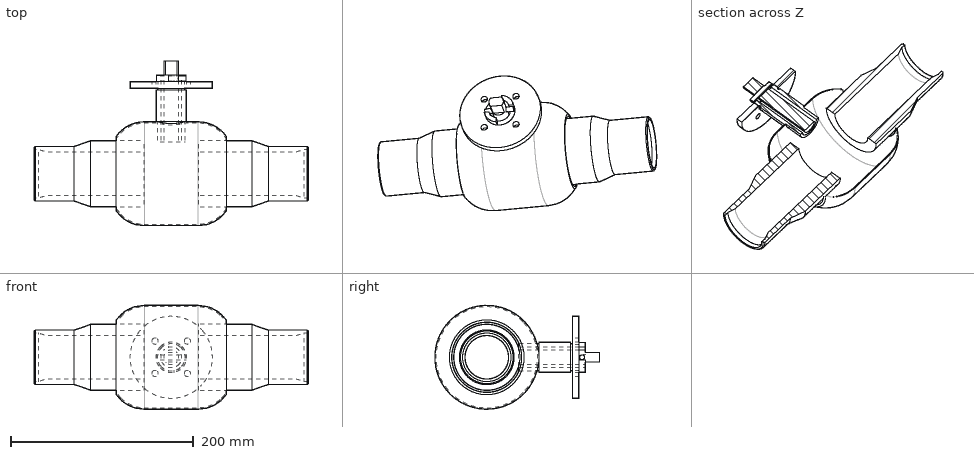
import cadquery as cq
import math

TOTAL_LENGTH = 300.0

HOUSING_DIAMETER = 114.0
HOUSING_LENGTH = 120.5
HOUSING_STRAIGHT = 58.8
HOUSING_END_RADIUS = 37.8
HOUSING_WALL = 1.5

PIPE_DIAMETER = 60.0
PIPE_BODY_DIAMETER = 72.5
PIPE_BORE = 47.5
PIPE_MOUTH_BORE = 53.0
PIPE_MOUTH_DEPTH = 4.8
PIPE_MOUTH_TAPER = 9.0
PIPE_STRAIGHT = 43.8
PIPE_TAPER = 18.0
PIPE_CHAMFER = 1.2
PIPE_INNER_END = 30.0

NECK_DIAMETER = 33.3
NECK_SPIGOT_DIAMETER = 30.0
NECK_BORE = 22.8
NECK_BOTTOM = 34.5
NECK_SHOULDER = HOUSING_DIAMETER / 2
NECK_GROOVE_WIDTH = 1.8
NECK_TOP = 108.0

FLANGE_DIAMETER = 90.0
FLANGE_THICKNESS = 7.2
FLANGE_BOTTOM = 93.5
FLANGE_TOP = FLANGE_BOTTOM + FLANGE_THICKNESS
BOLT_SPACING = 35.5
BOLT_HOLE_DIAMETER = 7.0

STEM_DIAMETER = 16.2
STEM_TOP = 123.5
STEM_FLAT_THICKNESS = 10.5
PIN_DIAMETER = 5.5
PIN_LENGTH = 31.8
PIN_HEIGHT = (FLANGE_TOP + NECK_TOP) / 2
STOP_OFFSET = 3.0


def cylinder_y(diameter, bottom, top):
    """Solid cylinder on the Y axis between two heights."""
    return cq.Workplane("XZ", origin=(0, bottom, 0)).circle(diameter / 2).extrude(bottom - top)


def rounded_barrel(inset):
    """Solid of revolution inside the housing's outer surface by the given inset."""
    half_length = HOUSING_LENGTH / 2
    half_straight = HOUSING_STRAIGHT / 2
    centre_height = HOUSING_DIAMETER / 2 - HOUSING_END_RADIUS
    arc_radius = HOUSING_END_RADIUS - inset
    end_angle = math.acos((half_length - half_straight) / arc_radius)
    middle_angle = (end_angle + math.pi / 2) / 2

    def arc_point(angle):
        return (half_straight + arc_radius * math.cos(angle), centre_height + arc_radius * math.sin(angle))

    middle_x, middle_height = arc_point(middle_angle)
    end_x, end_height = arc_point(end_angle)
    radius = HOUSING_DIAMETER / 2 - inset
    return (
        cq.Workplane("XY")
        .moveTo(-end_x, 0)
        .lineTo(-end_x, end_height)
        .threePointArc((-middle_x, middle_height), (-half_straight, radius))
        .lineTo(half_straight, radius)
        .threePointArc((middle_x, middle_height), (end_x, end_height))
        .lineTo(end_x, 0)
        .close()
        .revolve(360, (0, 0, 0), (1, 0, 0))
    )


def make_housing():
    """Shell open at both ends, with a hole for the neck spigot."""
    shell = rounded_barrel(0).cut(rounded_barrel(HOUSING_WALL))
    return shell.cut(cylinder_y(NECK_SPIGOT_DIAMETER, 0, HOUSING_DIAMETER))


def make_pipe(side):
    """Reducing pipe on the given side (-1 or +1) with a mouth widened inside."""
    outer_end = TOTAL_LENGTH / 2
    taper_start = outer_end - PIPE_STRAIGHT
    taper_end = taper_start - PIPE_TAPER
    mouth_end = outer_end - PIPE_MOUTH_DEPTH
    bore_start = mouth_end - PIPE_MOUTH_TAPER
    profile = [
        (PIPE_INNER_END, PIPE_BORE / 2),
        (PIPE_INNER_END, PIPE_BODY_DIAMETER / 2),
        (taper_end, PIPE_BODY_DIAMETER / 2),
        (taper_start, PIPE_DIAMETER / 2),
        (outer_end - PIPE_CHAMFER, PIPE_DIAMETER / 2),
        (outer_end, PIPE_DIAMETER / 2 - PIPE_CHAMFER),
        (outer_end, PIPE_MOUTH_BORE / 2),
        (mouth_end, PIPE_MOUTH_BORE / 2),
        (bore_start, PIPE_BORE / 2),
    ]
    points = [(side * x, radius) for x, radius in profile]
    return cq.Workplane("XY").polyline(points).close().revolve(360, (0, 0, 0), (1, 0, 0))


def stop_window(side):
    """Quarter opening that lets one end of the stop pin swing from X towards Z."""
    reach = NECK_DIAMETER
    height = NECK_TOP - FLANGE_TOP
    centre = side * (reach / 2 - STOP_OFFSET)
    return cq.Workplane("XY").box(reach, height, reach).translate((centre, PIN_HEIGHT, centre))


def make_neck():
    """Bored tube with a groove below the flange and two stop windows above it."""
    neck = cylinder_y(NECK_SPIGOT_DIAMETER, NECK_BOTTOM, NECK_TOP)
    neck = neck.union(cylinder_y(NECK_DIAMETER, NECK_SHOULDER, FLANGE_BOTTOM - NECK_GROOVE_WIDTH))
    neck = neck.union(cylinder_y(NECK_DIAMETER, FLANGE_BOTTOM, NECK_TOP))
    neck = neck.cut(cylinder_y(NECK_BORE, NECK_BOTTOM, NECK_TOP))
    for side in (-1, 1):
        neck = neck.cut(stop_window(side))
    return neck


def make_flange():
    """Round disc on the neck with four bolt holes in a square."""
    disc = cylinder_y(FLANGE_DIAMETER, FLANGE_BOTTOM, FLANGE_TOP)
    disc = disc.cut(cylinder_y(NECK_DIAMETER, FLANGE_BOTTOM, FLANGE_TOP))
    bolt_holes = (
        cq.Workplane("XZ", origin=(0, FLANGE_BOTTOM, 0))
        .rect(BOLT_SPACING, BOLT_SPACING, forConstruction=True)
        .vertices()
        .circle(BOLT_HOLE_DIAMETER / 2)
        .extrude(-FLANGE_THICKNESS)
    )
    return disc.cut(bolt_holes)


def make_pin():
    """Straight pin along X through the stem."""
    return (
        cq.Workplane("YZ", origin=(-PIN_LENGTH / 2, PIN_HEIGHT, 0))
        .circle(PIN_DIAMETER / 2)
        .extrude(PIN_LENGTH)
    )


def make_stem(pin):
    """Round stem with two flats on its top and a cross hole filled by the pin."""
    shaft = cylinder_y(STEM_DIAMETER, NECK_BOTTOM, NECK_TOP)
    tip_height = STEM_TOP - NECK_TOP
    flats = cq.Workplane("XY").box(STEM_DIAMETER, tip_height, STEM_FLAT_THICKNESS)
    flats = flats.translate((0, NECK_TOP + tip_height / 2, 0))
    tip = cylinder_y(STEM_DIAMETER, NECK_TOP, STEM_TOP).intersect(flats)
    return shaft.union(tip).cut(pin)


housing = make_housing()
pipes = [make_pipe(side) for side in (-1, 1)]
neck = make_neck()
flange = make_flange()
pin = make_pin()
stem = make_stem(pin)

result = cq.Compound.makeCompound(
    [housing.val(), *[pipe.val() for pipe in pipes], neck.val(), flange.val(), stem.val(), pin.val()]
)